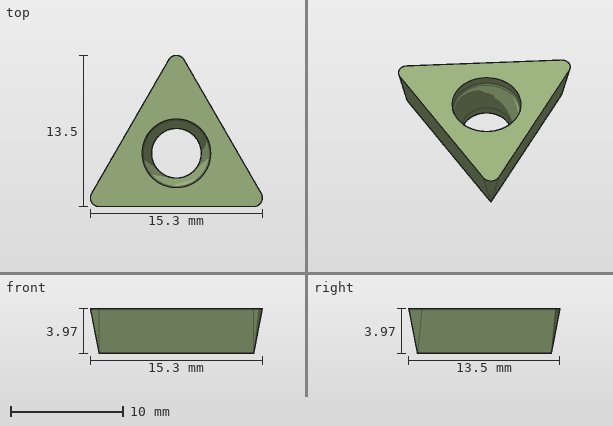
import cadquery as cq
import math

INSCRIBED_DIAMETER = 9.525
THICKNESS = 3.96875
CORNER_RADIUS = 0.79375
RELIEF_ANGLE = 11.0

HOLE_DIAMETER = 4.4
RECESS_RIM_DIAMETER = 6.13
RECESS_FLOOR_DIAMETER = 6.06
RECESS_DEPTH = 0.7
BLEND_RADIUS = 0.42
SEAT_RADIUS = 3.88


def make_body():
    """Rounded triangle at the top face, narrowing downwards by the relief angle."""
    corner_distance = INSCRIBED_DIAMETER - 2 * CORNER_RADIUS
    return (
        cq.Workplane("XY", origin=(0, 0, THICKNESS))
        .transformed(rotate=(0, 0, 90))
        .polygon(3, 2 * corner_distance)
        .offset2D(CORNER_RADIUS, "arc")
        .extrude(-THICKNESS, taper=RELIEF_ANGLE)
    )


def make_screw_hole():
    """Solid of revolution for the recess, blend, curved seat and through hole."""
    hole_radius = HOLE_DIAMETER / 2
    recess_radius = RECESS_FLOOR_DIAMETER / 2
    recess_floor = THICKNESS - RECESS_DEPTH

    step = recess_radius - hole_radius
    meeting_angle = math.acos(1 - step / (BLEND_RADIUS + SEAT_RADIUS))

    def blend_point(angle):
        radius = recess_radius - BLEND_RADIUS * (1 - math.cos(angle))
        return radius, recess_floor - BLEND_RADIUS * math.sin(angle)

    throat_height = recess_floor - (BLEND_RADIUS + SEAT_RADIUS) * math.sin(meeting_angle)

    def seat_point(angle):
        radius = hole_radius + SEAT_RADIUS * (1 - math.cos(angle))
        return radius, throat_height + SEAT_RADIUS * math.sin(angle)

    return (
        cq.Workplane("XZ")
        .moveTo(0, 0)
        .lineTo(hole_radius, 0)
        .lineTo(hole_radius, throat_height)
        .threePointArc(seat_point(meeting_angle / 2), seat_point(meeting_angle))
        .threePointArc(blend_point(meeting_angle / 2), (recess_radius, recess_floor))
        .lineTo(RECESS_RIM_DIAMETER / 2, THICKNESS)
        .lineTo(0, THICKNESS)
        .close()
        .revolve(360, (0, 0, 0), (0, 1, 0))
    )


result = make_body().cut(make_screw_hole())